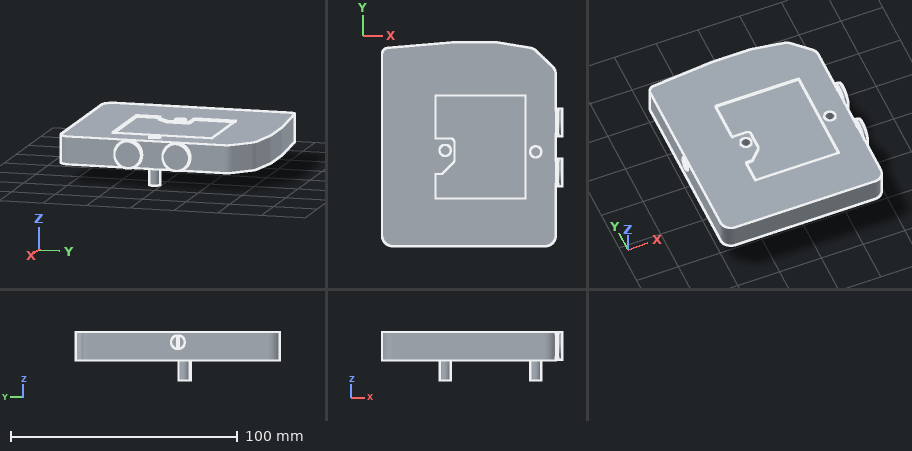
import cadquery as cq

plate_width = 76.8
plate_length = 90.1
plate_thickness = 12.6
lower_corner_radius = 5.0
upper_left_radius = 3.0
shoulder_radius = 5.0
shoulder_height = 87.4
crest_left = 32.0
crest_right = 50.5
bevel_width = 9.9
bevel_height = 9.5

pocket_left = 23.6
pocket_right = 63.4
pocket_bottom = 21.1
pocket_top = 66.6
pocket_depth = 0.7
notch_right = 32.0
notch_bottom = 32.0
notch_top = 47.6
notch_slope = 5.4
notch_radius = 1.6

pin_diameter = 5.0
pin_length = 8.8
pin_hole_depth = plate_thickness / 2
pin_centers = [(27.9, 42.35), (67.85, 41.7)]

screw_diameter = 6.0
screw_y = 45.0
screw_z = 8.1
screw_recess = 0.1
screw_slot_width = 0.8
screw_slot_depth = 0.9

knob_diameter = 12.3
knob_neck_diameter = 10.1
knob_neck_length = 1.0
knob_flange_length = 2.0
knob_rim_chamfer = 0.3
knob_rim_drop = 0.1
knob_z = plate_thickness - knob_diameter / 2
knob_y_positions = [32.6, 54.7]


def make_plate():
    outline = [
        (0, 0),
        (plate_width, 0),
        (plate_width, shoulder_height - bevel_height),
        (plate_width - bevel_width, shoulder_height),
        (crest_right, plate_length),
        (crest_left, plate_length),
        (0, shoulder_height),
    ]
    plate = cq.Workplane("XY").polyline(outline).close().extrude(plate_thickness)

    def round_corner(body, corner, radius):
        edge = cq.selectors.NearestToPointSelector((*corner, plate_thickness / 2))
        return body.edges("|Z").edges(edge).fillet(radius)

    for corner in (outline[0], outline[1]):
        plate = round_corner(plate, corner, lower_corner_radius)
    for corner in (outline[2], outline[3]):
        plate = round_corner(plate, corner, shoulder_radius)
    return round_corner(plate, outline[6], upper_left_radius)


def make_pocket():
    floor = plate_thickness - pocket_depth
    pocket = (
        cq.Workplane("XY", origin=(0, 0, floor))
        .moveTo(pocket_left, pocket_bottom)
        .lineTo(pocket_right, pocket_bottom)
        .lineTo(pocket_right, pocket_top)
        .lineTo(pocket_left, pocket_top)
        .close()
        .extrude(pocket_depth)
    )
    notch = (
        cq.Workplane("XY", origin=(0, 0, floor))
        .moveTo(pocket_left, notch_bottom)
        .lineTo(notch_right - notch_slope, notch_bottom)
        .lineTo(notch_right, notch_bottom + notch_slope)
        .lineTo(notch_right, notch_top)
        .lineTo(pocket_left, notch_top)
        .close()
        .extrude(pocket_depth)
    )
    notch = notch.faces(">X").edges("|Z").fillet(notch_radius)
    return pocket.cut(notch)


def make_pins():
    pins = cq.Workplane("XY").pushPoints(pin_centers)
    return pins.circle(pin_diameter / 2).extrude(-pin_length)


def make_pin_holes():
    holes = cq.Workplane("XY", origin=(0, 0, plate_thickness)).pushPoints(pin_centers)
    return holes.circle(pin_diameter / 2).extrude(-pin_hole_depth)


def make_screw_cut():
    side = cq.Workplane("YZ").center(screw_y, screw_z)
    recess = side.circle(screw_diameter / 2).extrude(screw_recess)
    bore = side.circle(screw_diameter / 2).extrude(screw_slot_depth)
    slot = side.rect(screw_slot_width, screw_diameter).extrude(screw_slot_depth)
    return recess.union(slot.intersect(bore))


def make_knob(y):
    neck_radius = knob_neck_diameter / 2
    flange_radius = knob_diameter / 2
    end = knob_neck_length + knob_flange_length
    profile = [
        (0, 0),
        (0, neck_radius),
        (knob_neck_length, neck_radius),
        (knob_neck_length, flange_radius),
        (end - knob_rim_chamfer, flange_radius),
        (end, flange_radius - knob_rim_drop),
        (end, 0),
    ]
    knob = cq.Workplane("XY").polyline(profile).close().revolve(360, (0, 0, 0), (1, 0, 0))
    return knob.translate((plate_width, y, knob_z))


result = make_plate().cut(make_pocket()).cut(make_pin_holes()).cut(make_screw_cut())
result = result.union(make_pins())
for knob_y in knob_y_positions:
    result = result.union(make_knob(knob_y))